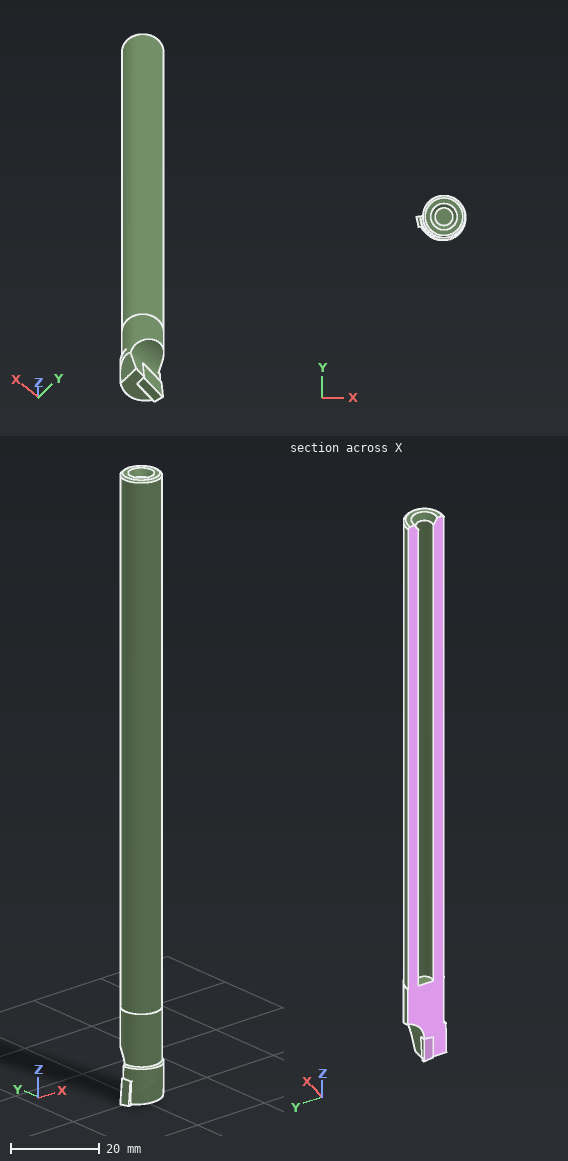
import cadquery as cq
import math

total_length = 153.65
shank_diameter = 9.525
neck_diameter = 9.61
neck_top = 22.6
shank_chamfer = 0.5

bore_diameter = 4.0
bore_bottom = neck_top
countersink_diameter = 6.0
countersink_half_angle = math.radians(30)

neck_bottom = 9.65
shoulder_height = 0.5
head_radius = 5.17
head_offset = -0.225
flank_x = -5.95
cone_top_radius = 5.28
cone_bottom_radius = 5.67

end_clearance = 0.5
relief_low_point = (2.8, 1.35)
relief_high_point = (4.95, 6.5)

rake_angle = 5.3
flute_floor_top = 9.1
flute_radius = 5.4
flute_reach = 30.0
flute_dip_angle = 20.0

tip_x = -6.3
inscribed_diameter = 6.35
nose_angle = 80.0
nose_radius = 0.4
insert_thickness = 2.38
insert_clearance_angle = 7.0


def bar_blank():
    """Shank and neck, with the end chamfer and the countersunk bore."""
    neck = (
        cq.Workplane("XY")
        .workplane(offset=neck_bottom)
        .circle(neck_diameter / 2)
        .extrude(neck_top - neck_bottom)
    )
    shank = (
        cq.Workplane("XY")
        .workplane(offset=neck_top)
        .circle(shank_diameter / 2)
        .extrude(total_length - neck_top)
        .faces(">Z")
        .chamfer(shank_chamfer)
    )
    bore_radius = bore_diameter / 2
    countersink_radius = countersink_diameter / 2
    countersink_depth = (countersink_radius - bore_radius) / math.tan(countersink_half_angle)
    bore = (
        cq.Workplane("XZ")
        .moveTo(0, total_length)
        .lineTo(countersink_radius, total_length)
        .lineTo(bore_radius, total_length - countersink_depth)
        .lineTo(bore_radius, bore_bottom)
        .lineTo(0, bore_bottom)
        .close()
        .revolve(360, (0, 0, 0), (0, 1, 0))
    )
    return neck.union(shank).cut(bore)


def head_blank():
    """Shoulder, eccentric cylinder and flank, trimmed to the cone."""
    shoulder_bottom = neck_bottom - shoulder_height
    shoulder = (
        cq.Workplane("XY")
        .workplane(offset=shoulder_bottom)
        .center(head_offset, head_offset)
        .circle(head_radius)
        .workplane(offset=shoulder_height)
        .center(-head_offset, -head_offset)
        .circle(neck_diameter / 2)
        .loft(ruled=True)
    )
    cylinder = (
        cq.Workplane("XY")
        .center(head_offset, head_offset)
        .circle(head_radius)
        .extrude(shoulder_bottom)
    )

    tangent = head_offset - head_radius * math.sqrt(0.5)
    flank_y = 2 * tangent - flank_x
    flank = (
        cq.Workplane("XY")
        .polyline([(0, 0), (tangent, tangent), (flank_x, flank_y), (flank_x, 0)])
        .close()
        .extrude(shoulder_bottom)
    )
    cone_slope = (cone_bottom_radius - cone_top_radius) / shoulder_bottom
    cone_end_radius = cone_top_radius - cone_slope * shoulder_height
    cone = cq.Workplane(
        cq.Solid.makeCone(cone_bottom_radius, cone_end_radius, neck_bottom)
    )
    return cylinder.union(flank).union(shoulder).intersect(cone)


def end_relief():
    """Space removed below the sloping end face and beyond the +X relief."""
    end_slope = math.tan(math.radians((90 - nose_angle) / 2))
    low_x, low_z = relief_low_point
    high_x, high_z = relief_high_point
    start_x = 2 * tip_x
    start_z = end_clearance + (start_x - tip_x) * end_slope
    relief_slope = (high_z - low_z) / (high_x - low_x)
    outer_x = high_x + head_radius
    outer_z = high_z + head_radius * relief_slope
    depth = -head_radius
    return (
        cq.Workplane("XZ")
        .polyline(
            [
                (start_x, depth),
                (start_x, start_z),
                (low_x, end_clearance + (low_x - tip_x) * end_slope),
                (outer_x, outer_z),
                (outer_x, depth),
            ]
        )
        .close()
        .extrude(2 * head_radius, both=True)
    )


def tilt(shape):
    """Turn a shape about the vertical line through the insert's tip."""
    return shape.rotate((tip_x, 0, 0), (tip_x, 0, 1), rake_angle)


def flute():
    """Space removed above the rake plane, ending in a concave run-out."""
    cutter = (
        cq.Workplane("YZ", origin=(tip_x, 0, 0))
        .moveTo(0, -flute_reach)
        .lineTo(0, flute_floor_top)
        .radiusArc((flute_radius, flute_floor_top + flute_radius), flute_radius)
        .lineTo(flute_radius, -flute_reach)
        .close()
        .extrude(flute_reach, both=True)
    )
    dipped = cutter.rotate((tip_x, 0, flute_floor_top), (tip_x, 1, flute_floor_top), flute_dip_angle)
    return tilt(dipped)


def cutting_insert():
    """Rhombic insert with one nose at the tip and its rake face in the flute floor."""
    edge = inscribed_diameter / math.sin(math.radians(nose_angle))
    lead = math.radians((90 - nose_angle) / 2)
    along = edge * math.cos(lead)
    across = edge * math.sin(lead)
    nose_setback = nose_radius * (math.sqrt(0.5) / math.sin(math.radians(nose_angle / 2)) - 1)
    outline = (
        cq.Sketch()
        .polygon([(0, 0), (along, across), (along + across, along + across), (across, along), (0, 0)])
        .vertices()
        .fillet(nose_radius)
    )
    insert = (
        cq.Workplane("XZ", origin=(tip_x - nose_setback, 0, -nose_setback))
        .placeSketch(outline)
        .extrude(insert_thickness, taper=insert_clearance_angle)
    )
    return tilt(insert)


insert = cutting_insert()
bar = bar_blank().union(head_blank()).cut(end_relief()).cut(flute()).cut(insert)

result = cq.Compound.makeCompound([bar.solids().val(), insert.solids().val()])